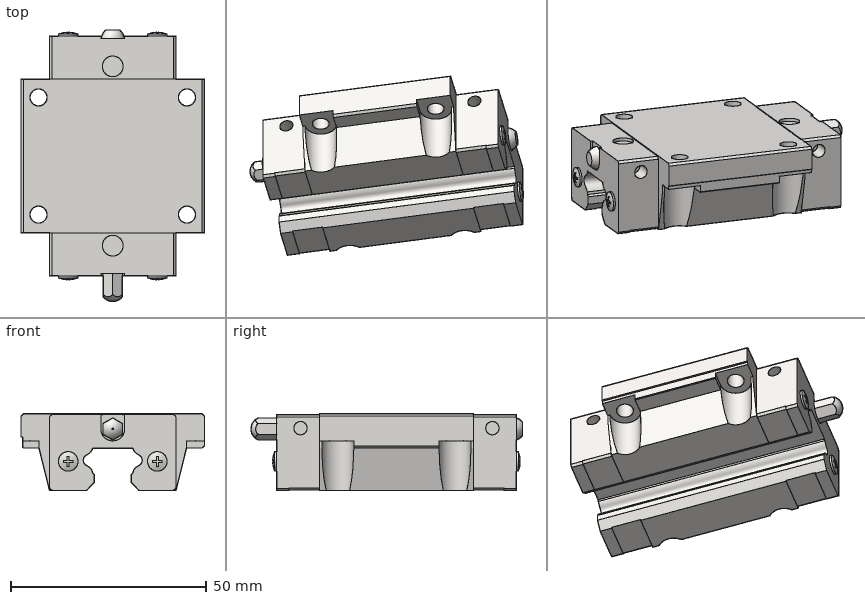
import cadquery as cq
import math


block_width = 47.0
block_length = 39.4
block_height = 19.7
flange_bottom = 10.9
flange_chamfer = 0.6
skirt_top_half_width = 18.9
skirt_foot_half_width = 16.2
datum_step_depth = 0.4
datum_step_top = 13.7

mount_spacing_x = 38.0
mount_spacing_y = 30.0
mount_diameter = 4.3
spotface_radius = 4.1
spotface_height = 12.75

end_half_width = skirt_foot_half_width
end_top = 19.5
end_chamfer = 0.6
cap_bottom = 0.15
cap_length = 7.85
seal_length = 3.15
seal_face_y = block_length / 2 + cap_length + seal_length

channel_top = 10.85
channel_roof_half_width = 5.15
channel_shoulder_half_width = 5.3
ball_axis_height = 7.8
ball_shoulder_rise = 2.55
land_middle_half_width = 5.75
land_middle_rise = 2.0
ball_groove_rise = 1.3
ball_groove_half_width = 6.75
ball_groove_bottom_half_width = 7.5
channel_neck_half_width = 4.7
channel_neck_top = 4.1
channel_neck_bottom = 2.1
channel_mouth_half_width = 6.75
lip_corner_height = 4.6

top_port_diameter = 5.3
top_port_depth = 0.8
top_port_y = 22.95
side_port_diameter = 3.4
side_port_depth = 5.0
side_port_y = 24.55
side_port_height = 16.0

fitting_height = 15.8
recess_radius = 3.05
recess_depth = 0.6
nipple_flats = 4.9
nipple_corner_radius = nipple_flats / math.sqrt(3)
nipple_projection = 6.57
nipple_dome_height = 1.9
nipple_bore_diameter = 0.4
nipple_bore_depth = 1.0
plug_base_radius = 3.0
plug_middle_radius = 2.65
plug_tip_radius = 1.75
plug_projection = 1.6

screw_x = 11.4
screw_height = 7.5
screw_radius = 2.5
screw_rim_projection = 0.5
screw_projection = 1.0
cross_length = 2.5
cross_width = 0.5
cross_depth = 0.7


def box_between(x_range, y_range, z_range):
    """Box filling the given (low, high) ranges."""
    lows, highs = zip(x_range, y_range, z_range)
    size = [high - low for low, high in zip(lows, highs)]
    return cq.Workplane("XY").box(*size, centered=False).translate(lows)


def end_plane(end, distance, x, height):
    """Plane facing outward along Y at the given end (-1 or +1)."""
    return cq.Plane(origin=(x, end * distance, height), xDir=(1, 0, 0), normal=(0, end, 0))


def revolved_along_y(end, distance, x, height, outline):
    """Revolve an outline of radius against outward reach about a Y-parallel axis."""
    plane = cq.Plane(origin=(x, end * distance, height), xDir=(1, 0, 0), normal=(0, 0, end))
    return outline(cq.Workplane(plane)).close().revolve(360, (0, 0, 0), (0, 1, 0))


def make_block():
    half = block_width / 2
    flange_edge = half - flange_chamfer
    right_side = [
        (skirt_foot_half_width, 0),
        (skirt_top_half_width, flange_bottom),
        (flange_edge, flange_bottom),
        (half, flange_bottom + flange_chamfer),
        (half, block_height - flange_chamfer),
        (flange_edge, block_height),
    ]
    left_side = [(-x, z) for x, z in reversed(right_side)]
    block = cq.Workplane("XZ").polyline(right_side + left_side).close()
    block = block.extrude(block_length / 2, both=True)
    relief = box_between(
        (-half, -half + datum_step_depth),
        (-block_length / 2, block_length / 2),
        (0, datum_step_top),
    )
    return block.cut(relief)


def make_mount_cut(side, end):
    """Through hole with its spotface, opened to the flange edge and the block end."""
    x = side * mount_spacing_x / 2
    y = end * mount_spacing_y / 2
    hole = cq.Workplane("XY").center(x, y).circle(mount_diameter / 2).extrude(block_height)
    spotface = cq.Workplane("XY").center(x, y).circle(spotface_radius).extrude(spotface_height)
    clearance = box_between(
        sorted((side * skirt_top_half_width, side * block_width / 2)),
        sorted((y - end * spotface_radius, end * block_length / 2)),
        (0, spotface_height),
    )
    return hole.union(spotface).union(clearance)


def make_end_slab(end, inner_y, length, bottom):
    """Slab with chamfered long edges, reaching outward from inner_y."""
    slab = box_between(
        (-end_half_width, end_half_width),
        sorted((end * inner_y, end * (inner_y + length))),
        (bottom, end_top),
    )
    return slab.edges("|Y").chamfer(end_chamfer)


def make_channel():
    """Rail clearance with a ball groove in each flank, running the full length."""
    half = (
        cq.Workplane("XZ")
        .lineTo(channel_mouth_half_width, 0)
        .lineTo(channel_neck_half_width, channel_neck_bottom)
        .lineTo(channel_neck_half_width, channel_neck_top)
        .lineTo(channel_roof_half_width, lip_corner_height)
        .lineTo(channel_shoulder_half_width, ball_axis_height - ball_shoulder_rise)
        .threePointArc(
            (land_middle_half_width, ball_axis_height - land_middle_rise),
            (ball_groove_half_width, ball_axis_height - ball_groove_rise),
        )
        .threePointArc(
            (ball_groove_bottom_half_width, ball_axis_height),
            (ball_groove_half_width, ball_axis_height + ball_groove_rise),
        )
        .threePointArc(
            (land_middle_half_width, ball_axis_height + land_middle_rise),
            (channel_shoulder_half_width, ball_axis_height + ball_shoulder_rise),
        )
        .lineTo(channel_roof_half_width, channel_top)
        .lineTo(0, channel_top)
        .close()
        .extrude(seal_face_y, both=True)
    )
    return half.union(half.mirror("YZ")).clean()


def make_top_port(end):
    floor = end_top - top_port_depth
    port = cq.Workplane("XY", origin=(0, end * top_port_y, floor))
    return port.circle(top_port_diameter / 2).extrude(top_port_depth)


def make_side_port(side, end):
    face = (side * end_half_width, end * side_port_y, side_port_height)
    port = cq.Workplane("YZ", origin=face).circle(side_port_diameter / 2)
    return port.extrude(-side * side_port_depth)


def make_fitting_recess(end):
    """Round-bottomed recess in the seal face, open at the top."""
    floor = seal_face_y - recess_depth
    rounded = cq.Workplane(end_plane(end, floor, 0, fitting_height))
    rounded = rounded.circle(recess_radius).extrude(recess_depth)
    opening = box_between(
        (-recess_radius, recess_radius),
        sorted((end * floor, end * seal_face_y)),
        (fitting_height, end_top),
    )
    return rounded.union(opening)


def make_nipple():
    """Hexagonal grease nipple with a domed tip on the -Y end."""
    base_y = seal_face_y - recess_depth
    length = nipple_projection + recess_depth
    corners = []
    for index in range(6):
        angle = math.radians(90 + 60 * index)
        corners.append((nipple_corner_radius * math.cos(angle), nipple_corner_radius * math.sin(angle)))
    hexagon = cq.Workplane(end_plane(-1, base_y, 0, fitting_height))
    hexagon = hexagon.polyline(corners).close().extrude(length)

    dome_radius = (nipple_corner_radius**2 + nipple_dome_height**2) / (2 * nipple_dome_height)
    half_angle = math.asin(nipple_corner_radius / dome_radius) / 2
    arc_middle = (
        dome_radius * math.sin(half_angle),
        length - dome_radius * (1 - math.cos(half_angle)),
    )

    def domed_outline(sketch):
        sketch = sketch.lineTo(nipple_corner_radius, 0)
        sketch = sketch.lineTo(nipple_corner_radius, length - nipple_dome_height)
        return sketch.threePointArc(arc_middle, (0, length))

    envelope = revolved_along_y(-1, base_y, 0, fitting_height, domed_outline)
    bore_floor = base_y + length - nipple_bore_depth
    bore = cq.Workplane(end_plane(-1, bore_floor, 0, fitting_height))
    bore = bore.circle(nipple_bore_diameter / 2).extrude(nipple_bore_depth)
    return hexagon.intersect(envelope).cut(bore)


def make_plug():
    """Domed, flat-tipped plug on the +Y end."""
    length = plug_projection + recess_depth

    def plug_outline(sketch):
        sketch = sketch.lineTo(plug_base_radius, 0)
        sketch = sketch.threePointArc((plug_middle_radius, length / 2), (plug_tip_radius, length))
        return sketch.lineTo(0, length)

    return revolved_along_y(1, seal_face_y - recess_depth, 0, fitting_height, plug_outline)


def make_screw(side, end):
    """Cross-recessed, domed screw head."""
    x = side * screw_x
    dome_height = screw_projection - screw_rim_projection
    dome_radius = (screw_radius**2 + dome_height**2) / (2 * dome_height)
    half_angle = math.asin(screw_radius / dome_radius) / 2
    arc_middle = (
        dome_radius * math.sin(half_angle),
        screw_projection - dome_radius * (1 - math.cos(half_angle)),
    )

    def head_outline(sketch):
        sketch = sketch.lineTo(screw_radius, 0).lineTo(screw_radius, screw_rim_projection)
        return sketch.threePointArc(arc_middle, (0, screw_projection))

    head = revolved_along_y(end, seal_face_y, x, screw_height, head_outline)
    cross_floor = seal_face_y + screw_projection - cross_depth
    for size in ((cross_length, cross_width), (cross_width, cross_length)):
        bar = cq.Workplane(end_plane(end, cross_floor, x, screw_height))
        head = head.cut(bar.rect(*size).extrude(cross_depth))
    return head


ends = (-1, 1)
sides = (-1, 1)

result = make_block()
for end in ends:
    for side in sides:
        result = result.cut(make_mount_cut(side, end), clean=False)

for end in ends:
    result = result.union(make_end_slab(end, block_length / 2, cap_length, cap_bottom), clean=False)
    result = result.union(make_end_slab(end, block_length / 2 + cap_length, seal_length, 0), clean=False)

result = result.cut(make_channel(), clean=False)

for end in ends:
    result = result.cut(make_top_port(end), clean=False)
    result = result.cut(make_fitting_recess(end), clean=False)
    for side in sides:
        result = result.cut(make_side_port(side, end), clean=False)
        result = result.union(make_screw(side, end), clean=False)

result = result.union(make_nipple(), clean=False)
result = result.union(make_plug(), clean=False)